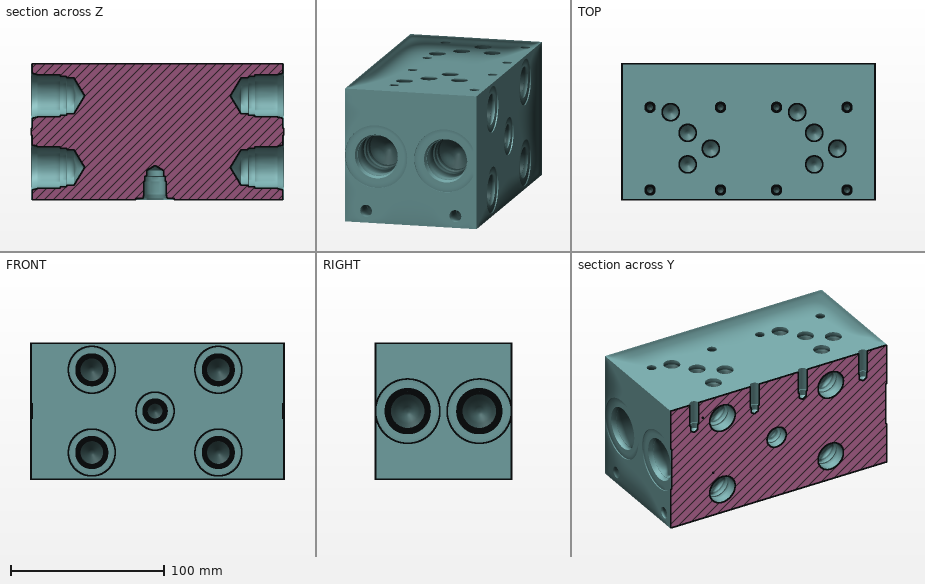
import cadquery as cq
import math

LENGTH = 165.1
WIDTH = 88.9
HEIGHT = 88.9

DRILL_POINT_ANGLE = 118.0

STATION_PITCH = LENGTH / 2
STATION_CENTRES = (-STATION_PITCH / 2, STATION_PITCH / 2)

BOLT_SPAN_X = 46.0
BOLT_SPAN_Y = 54.0
VALVE_PORT_OFFSETS = (
    (BOLT_SPAN_X - 6.3, BOLT_SPAN_Y / 2),
    (BOLT_SPAN_X - 21.4, 16.7),
    (BOLT_SPAN_X - 21.4, 37.3),
    (BOLT_SPAN_X - 32.5, 50.8),
)
FRONT_BOLT_EDGE = 6.35
VALVE_PORT_DIAMETER = 11.12
VALVE_PORT_DEPTH = 3.18

VALVE_BOLT = dict(thread=(6.35, 16.0), tap_drill=(5.11, 20.0))
MOUNTING_BOLT = dict(thread=(7.92, 16.0), tap_drill=(6.53, 20.0))

END_PORT_SPACING = 46.74

MOUNTING_SPACING = 60.33
MOUNTING_HEIGHT = 7.94

FRONT_PORT_SHIFT = -1.59
PORT_SPACING_Z = 53.98

SPOTFACE_DEPTH = 0.8

END_PORT = dict(spotface=42.04, mouth=29.2, seat=27.43, seat_depth=3.3,
                thread=(27.0, 19.0), tap_drill=(24.92, 23.0), pilot_drill=(23.01, 28.0))
WORK_PORT = dict(spotface=30.63, mouth=20.6, seat=19.25, seat_depth=2.5,
                 thread=(19.05, 14.3), tap_drill=(17.5, 17.5), pilot_drill=(15.88, 22.0))
GAUGE_PORT = dict(spotface=24.92, mouth=15.6, seat=14.4, seat_depth=2.5,
                  thread=(14.29, 12.0), tap_drill=(12.9, 15.0), pilot_drill=(10.7, 19.0))


def point_length(diameter):
    """Depth of the cone that a drill of this diameter leaves at its tip."""
    return diameter / 2 / math.tan(math.radians(DRILL_POINT_ANGLE / 2))


def step(diameter, start_depth, end_depth):
    """Points (radius, depth) of the straight wall of one bore."""
    return [(diameter / 2, start_depth), (diameter / 2, end_depth)]


def revolved_hole(points):
    """Cutter with its mouth on the XY plane, running down along -Z."""
    profile = cq.Workplane("XZ").polyline([(radius, -depth) for radius, depth in points]).close()
    return profile.revolve(360, (0, 0, 0), (0, 1, 0)).val()


def drilled_hole(diameter, depth):
    tip_depth = depth + point_length(diameter)
    return revolved_hole([(0, 0)] + step(diameter, 0, depth) + [(0, tip_depth)])


def threaded_hole(thread, tap_drill):
    thread_diameter, thread_depth = thread
    tap_diameter, tap_depth = tap_drill
    return revolved_hole(
        [(0, 0)]
        + step(thread_diameter, 0, thread_depth)
        + step(tap_diameter, thread_depth, tap_depth)
        + [(0, tap_depth + point_length(tap_diameter))]
    )


def port(spotface, mouth, seat, seat_depth, thread, tap_drill, pilot_drill):
    thread_diameter, thread_depth = thread
    tap_diameter, tap_depth = tap_drill
    pilot_diameter, pilot_depth = pilot_drill
    seat_end = SPOTFACE_DEPTH + seat_depth
    shoulder_depth = tap_depth + point_length(tap_diameter - pilot_diameter)
    return revolved_hole(
        [(0, 0)]
        + step(spotface, 0, SPOTFACE_DEPTH)
        + [(mouth / 2, SPOTFACE_DEPTH), (seat / 2, seat_end)]
        + step(thread_diameter, seat_end, thread_depth)
        + step(tap_diameter, thread_depth, tap_depth)
        + step(pilot_diameter, shoulder_depth, pilot_depth)
        + [(0, pilot_depth + point_length(pilot_diameter))]
    )


def on_face(cutter, normal, place):
    """Move a cutter to a place on the face that has the given outward normal."""
    plane = cq.Plane(origin=place, normal=normal)
    return cutter.moved(cq.Location(plane))


def valve_station_cutters(centre_x):
    bolt = threaded_hole(**VALVE_BOLT)
    valve_port = drilled_hole(VALVE_PORT_DIAMETER, VALVE_PORT_DEPTH)
    corner_x = centre_x - BOLT_SPAN_X / 2
    corner_y = FRONT_BOLT_EDGE - WIDTH / 2
    bolt_offsets = [(x, y) for x in (0, BOLT_SPAN_X) for y in (0, BOLT_SPAN_Y)]
    holes = [(bolt, offset) for offset in bolt_offsets]
    holes += [(valve_port, offset) for offset in VALVE_PORT_OFFSETS]
    return [on_face(hole, (0, 0, 1), (corner_x + x, corner_y + y, HEIGHT)) for hole, (x, y) in holes]


def front_port_cutters():
    front = (0, -1, 0)
    front_y = -WIDTH / 2
    work_port = port(**WORK_PORT)
    cutters = [on_face(port(**GAUGE_PORT), front, (FRONT_PORT_SHIFT, front_y, HEIGHT / 2))]
    for station_x in STATION_CENTRES:
        for side in (-1, 1):
            place = (station_x + FRONT_PORT_SHIFT, front_y, HEIGHT / 2 + side * PORT_SPACING_Z / 2)
            cutters.append(on_face(work_port, front, place))
    return cutters


def end_port_cutters():
    end_port = port(**END_PORT)
    cutters = []
    for end in (-1, 1):
        for side in (-1, 1):
            place = (end * LENGTH / 2, side * END_PORT_SPACING / 2, HEIGHT / 2)
            cutters.append(on_face(end_port, (end, 0, 0), place))
    return cutters


def mounting_hole_cutters():
    hole = threaded_hole(**MOUNTING_BOLT)
    return [
        on_face(hole, (-1, 0, 0), (-LENGTH / 2, side * MOUNTING_SPACING / 2, MOUNTING_HEIGHT))
        for side in (-1, 1)
    ]


block = cq.Workplane("XY").box(LENGTH, WIDTH, HEIGHT, centered=(True, True, False))

cutters = front_port_cutters() + end_port_cutters() + mounting_hole_cutters()
for station_centre in STATION_CENTRES:
    cutters += valve_station_cutters(station_centre)

result = cq.Workplane(block.val().cut(*cutters))